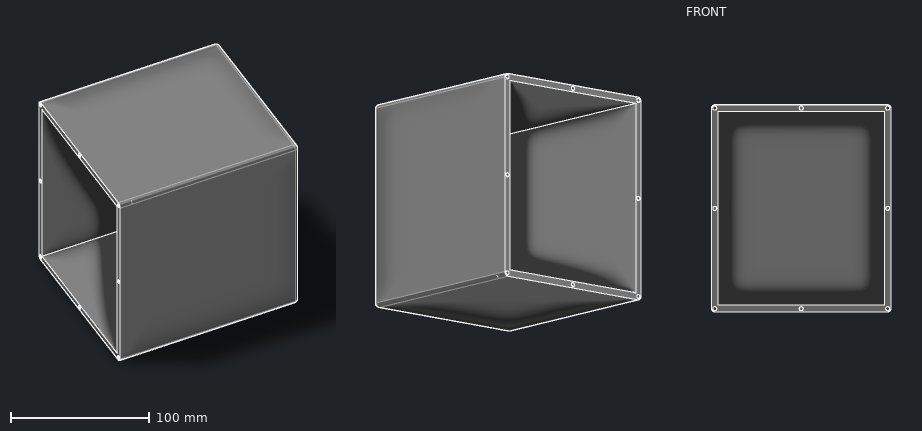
import cadquery as cq

width = 130.0
depth = 145.0
height = 150.0

wall = 5.0
edge_radius = 3.0

hole_diameter = 2.9
hole_depth = 10.0
hole_inset = wall / 2


def outer_block():
    """Solid block rounded on every edge except those of the open face."""
    block = cq.Workplane("XY").box(width, depth, height)
    return block.edges("|Y or >Y").fillet(edge_radius)


def cavity():
    """Rectangular space that leaves the side walls and the back wall."""
    return (
        cq.Workplane("XY")
        .box(width - 2 * wall, depth - wall, height - 2 * wall)
        .translate((0, -wall / 2, 0))
    )


def rim_holes():
    """Blind holes at the rim's corners and at the middle of each side."""
    x_offset = width / 2 - hole_inset
    z_offset = height / 2 - hole_inset
    centres = [
        (x_side * x_offset, z_side * z_offset)
        for x_side in (-1, 0, 1)
        for z_side in (-1, 0, 1)
        if (x_side, z_side) != (0, 0)
    ]
    return (
        cq.Workplane("XZ", origin=(0, -depth / 2, 0))
        .pushPoints(centres)
        .circle(hole_diameter / 2)
        .extrude(-hole_depth)
    )


result = outer_block().cut(cavity()).cut(rim_holes())